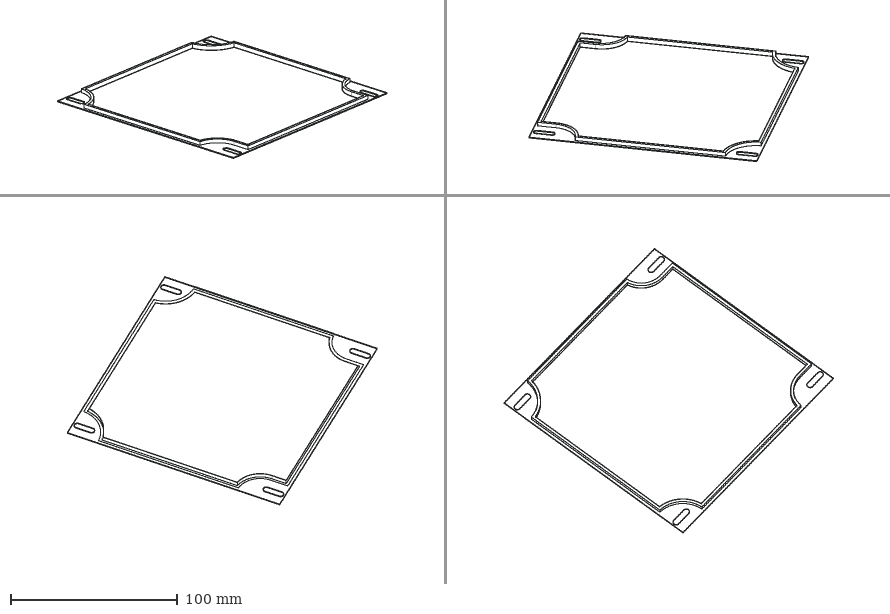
import cadquery as cq

side = 140.0
total_height = 3.0
plate_thickness = 0.5
rim_inset = 1.8
rim_width = 1.8

left_arc_inset = 0.8
left_arc_radius = 18.9

right_arc_inset_x = 13.2
right_arc_inset_y = 0.7
right_arc_radius = 14.8

slot_length = 13.2
slot_width = 3.8
slot_inset_x = 7.7
slot_inset_y = 7.8

half = side / 2


def corner_areas(growth):
    """Areas kept outside the rim at the four corners, enlarged by growth."""
    left_radius = left_arc_radius + growth
    right_radius = right_arc_radius + growth
    left_centre = half - left_arc_inset
    right_x = half - right_arc_inset_x
    right_y = half - right_arc_inset_y
    areas = (
        cq.Workplane("XY")
        .pushPoints([(-left_centre, -left_centre), (-left_centre, left_centre)])
        .circle(left_radius)
        .extrude(total_height)
    )
    for y_sign in (-1, 1):
        round_part = (
            cq.Workplane("XY")
            .center(right_x, y_sign * right_y)
            .circle(right_radius)
            .extrude(total_height)
        )
        straight_part = (
            cq.Workplane("XY")
            .center((right_x + half) / 2, y_sign * right_y)
            .rect(right_arc_inset_x, 2 * right_radius)
            .extrude(total_height)
        )
        areas = areas.union(round_part).union(straight_part)
    return areas


def rim_block(offset):
    """Solid bounded by the rim's outer outline moved inward by offset."""
    width = side - 2 * (rim_inset + offset)
    block = cq.Workplane("XY").rect(width, width).extrude(total_height)
    return block.cut(corner_areas(offset))


def slots():
    x = half - slot_inset_x
    y = half - slot_inset_y
    return (
        cq.Workplane("XY")
        .rect(2 * x, 2 * y, forConstruction=True)
        .vertices()
        .slot2D(slot_length, slot_width)
        .extrude(plate_thickness)
    )


plate = cq.Workplane("XY").rect(side, side).extrude(plate_thickness)
result = plate.union(rim_block(0)).cut(rim_block(rim_width)).cut(slots())